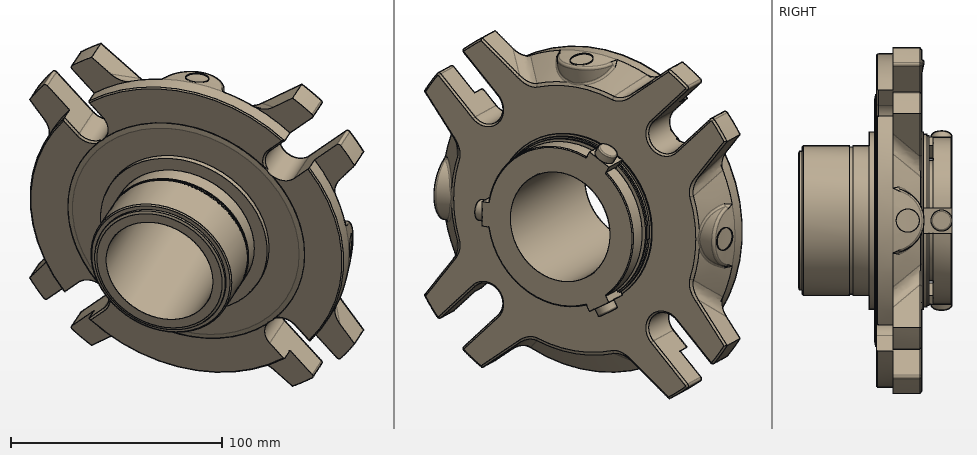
import cadquery as cq
import math


flange_dia = 158.3
flange_back = 13.8
flange_back_dia = 133.0
lug_angles = (45, 135, 225, 315)
lug_tip_radius = 96.3
lug_half_width = 22.1
lug_tip_reach = math.sqrt(lug_tip_radius**2 - lug_half_width**2)
lug_side_taper = 7.5
lug_root = 45.9
lug_corner_fillet = 1.3
lug_back_chamfer = 1.0
lug_blend = 6.5
slot_width = 17.5
slot_bottom = 59.5
slot_chamfer = 1.0

boss_angles = (0, 90, 180)
boss_tilt = 12
boss_radius = 15.4
boss_root = 49.1
boss_blend = 1.3
port_dia = 11.0
port_height = 7.0
port_depth = 0.5

pilot_front = -7.9
pilot_chamfer = 0.7
face_step = -8.2
face_front = -8.7
face_base_dia = 119.5
face_dia = 114.4
gland_front = -11.3
gland_dia = 84.0

bore_dia = 53.9
sleeve_dia = 71.1
sleeve_shoulder = -43.0
sleeve_chamfer = 0.7
sleeve_end = -44.7
nose_dia = 65.9
nose_chamfer = 1.3
nose_chamfer_length = 0.5
groove_dia = 70.0
groove_start = -19.0
groove_width = 1.6
inner_sleeve_dia = 57.2

seat_ring_dia = 84.0
seat_ring_back = 14.5
middle_ring_dia = 81.9
middle_ring_back = 16.0
back_ring_dia = 80.5
back_ring_back = 17.2
collar_dia = 78.8
collar_start = 19.0
collar_back = 28.0
collar_chamfer = 0.5

clip_angles = (0, 120, 240)
clip_width = 12.1
clip_inner = 37.5
clip_outer = 42.3
screw_head_dia = 10.0
screw_head_outer = 46.5
screw_head_fillet = 0.7

edge_margin = 0.2
rim_margin = 1.5
tip_margin = 1.6
blend_margin = 9.8
seam_margin = 3.3
cutter_overrun = 1.6


def spin(shape, angle):
    """Turn a shape about the part axis, from +X towards +Z."""
    return shape.rotate((0, 0, 0), (0, 1, 0), -angle)


def disc(dia, y_start, y_end):
    return cq.Workplane("XZ", origin=(0, y_end, 0)).circle(dia / 2).extrude(y_end - y_start)


def turned(points):
    """Revolve an outline of (radius, height) points about the part axis."""
    return cq.Workplane("XY").polyline(points).close().revolve(360, (0, 0, 0), (0, 1, 0))


def radial_rod(dia, r_start, r_end, height):
    """Round bar along +X at the given height on the part axis."""
    return cq.Workplane("YZ", origin=(r_start, height, 0)).circle(dia / 2).extrude(r_end - r_start)


def lug():
    """Blank for one pair of lug fingers along +X, before its slot is cut."""
    root_half = lug_half_width + (lug_tip_reach - lug_root) * math.tan(math.radians(lug_side_taper))
    return (
        cq.Workplane("XZ", origin=(0, flange_back, 0))
        .moveTo(lug_root, -root_half)
        .lineTo(lug_tip_reach, -lug_half_width)
        .threePointArc((lug_tip_radius, 0), (lug_tip_reach, lug_half_width))
        .lineTo(lug_root, root_half)
        .close()
        .extrude(flange_back)
    )


def slot_outline(y):
    """Slot outline along +X with a round bottom, running out past the lug tip."""
    half = slot_width / 2
    open_end = 1.2 * lug_tip_radius
    return (
        cq.Workplane("XZ", origin=(0, y, 0))
        .moveTo(open_end, -half)
        .lineTo(slot_bottom + half, -half)
        .threePointArc((slot_bottom, 0), (slot_bottom + half, half))
        .lineTo(open_end, half)
        .close()
    )


def slot():
    return slot_outline(flange_back).extrude(flange_back - face_front)


def slot_entry_chamfer():
    """Flared front edge on one wall of a slot, from its mouth to the middle of its round end."""
    flare = slot_outline(pilot_front + slot_chamfer).extrude(slot_chamfer, taper=-45)
    one_side = cq.Workplane("XY").box(2 * flange_dia, flange_dia, flange_dia, centered=(True, True, False))
    return flare.intersect(one_side)


def on_blend_edge(edge):
    """True for the edges where a lug side meets the cone of the flange."""
    c = edge.Center()
    radius = math.hypot(c.x, c.z)
    between_faces = edge_margin < c.y < flange_back - edge_margin
    return between_faces and flange_back_dia / 2 < radius < lug_tip_radius - blend_margin


def on_slot_corner(edge):
    """True for the corners where a slot runs out through a lug tip."""
    c = edge.Center()
    outer_corner = (lug_tip_reach + lug_half_width) / math.sqrt(2)
    at_tip = math.hypot(c.x, c.z) > lug_tip_radius - tip_margin
    return at_tip and max(abs(c.x), abs(c.z)) < outer_corner - tip_margin


def on_boss_seam(edge):
    """True for the edges where a boss meets the cone or the back of the flange."""
    c = edge.Center()
    on_outside = c.y > edge_margin and math.hypot(c.x, c.z) < flange_dia / 2 - rim_margin
    beside_boss = min(abs(c.x), abs(c.z)) < boss_radius + seam_margin and max(abs(c.x), abs(c.z)) > boss_root
    return on_outside and beside_boss and edge.geomType() != "CIRCLE"


def boss_envelope(inset):
    """Cone that carries the outer faces of the bosses, or lies below them by the inset."""
    height = 2 * boss_radius
    base = flange_dia / 2 - inset
    top = base - height * math.tan(math.radians(boss_tilt))
    return turned([(0, 0), (base, 0), (top, height), (0, height)])


def boss():
    """Round port boss, tilted so that it sinks into the back of the flange."""
    rod = radial_rod(2 * boss_radius, boss_root, flange_dia / 2 + cutter_overrun, 0)
    rod = rod.rotate((flange_dia / 2, 0, 0), (flange_dia / 2, 0, 1), boss_tilt)
    return rod.intersect(boss_envelope(0))


def port():
    """Shallow round recess in the outer face of a boss."""
    rod = radial_rod(port_dia, boss_root, flange_dia / 2 + cutter_overrun, port_height)
    return rod.cut(boss_envelope(port_depth))


def flange():
    rim = flange_dia / 2
    body = turned([(0, 0), (rim, 0), (flange_back_dia / 2, flange_back), (0, flange_back)])
    for angle in lug_angles:
        body = body.union(spin(lug(), angle))
    blends = [e for e in body.edges().vals() if on_blend_edge(e)]
    body = body.newObject(blends).fillet(lug_blend)
    for angle in lug_angles:
        body = body.cut(spin(slot(), angle))
    corners = [e for e in body.edges("|Y").vals() if on_slot_corner(e)]
    body = body.newObject(corners).fillet(lug_corner_fillet)
    body = body.faces(">Y").edges().chamfer(lug_back_chamfer)
    for angle in boss_angles:
        body = body.union(spin(boss(), angle))
    seams = [e for e in body.edges().vals() if on_boss_seam(e)]
    return body.newObject(seams).fillet(boss_blend)


def pilot():
    plate = disc(flange_dia, pilot_front, 0).faces("<Y").chamfer(pilot_chamfer)
    for angle in lug_angles:
        plate = plate.cut(spin(slot_entry_chamfer(), angle))
    base = face_base_dia / 2
    face = turned([(0, 0), (base, 0), (base, face_step), (face_dia / 2, face_front), (0, face_front)])
    return plate.union(face).union(disc(gland_dia, gland_front, 0))


def sleeve():
    body = disc(sleeve_dia, sleeve_shoulder, 0).faces("<Y").chamfer(sleeve_chamfer)
    nose = disc(nose_dia, sleeve_end, 0).faces("<Y").chamfer(nose_chamfer_length, nose_chamfer)
    groove = disc(sleeve_dia, groove_start - groove_width, groove_start)
    groove = groove.cut(disc(groove_dia, groove_start - groove_width, groove_start))
    return body.cut(groove).union(nose).union(disc(inner_sleeve_dia, 0, collar_back))


def clip():
    length = clip_outer - clip_inner
    height = collar_back - seat_ring_back
    block = cq.Workplane("XY").box(length, height, clip_width, centered=(False, False, True))
    return block.translate((clip_inner, seat_ring_back, 0))


def screw_head():
    height = collar_back - screw_head_dia / 2
    head = radial_rod(screw_head_dia, clip_inner, screw_head_outer, height)
    return head.faces(">X").edges().fillet(screw_head_fillet)


def collar():
    """Drive collar, the stepped rings under it, and the clips that bridge the gap."""
    ring = disc(collar_dia, collar_start, collar_back).faces(">Y").chamfer(collar_chamfer)
    ring = ring.union(disc(seat_ring_dia, 0, seat_ring_back))
    ring = ring.union(disc(middle_ring_dia, 0, middle_ring_back))
    ring = ring.union(disc(back_ring_dia, 0, back_ring_back))
    for angle in clip_angles:
        ring = ring.union(spin(clip(), angle)).union(spin(screw_head(), angle))
    return ring


result = flange().union(pilot()).union(sleeve()).union(collar())
for angle in lug_angles:
    result = result.cut(spin(slot(), angle))
for angle in boss_angles:
    result = result.cut(spin(port(), angle))
result = result.cut(disc(bore_dia, sleeve_end, collar_back))